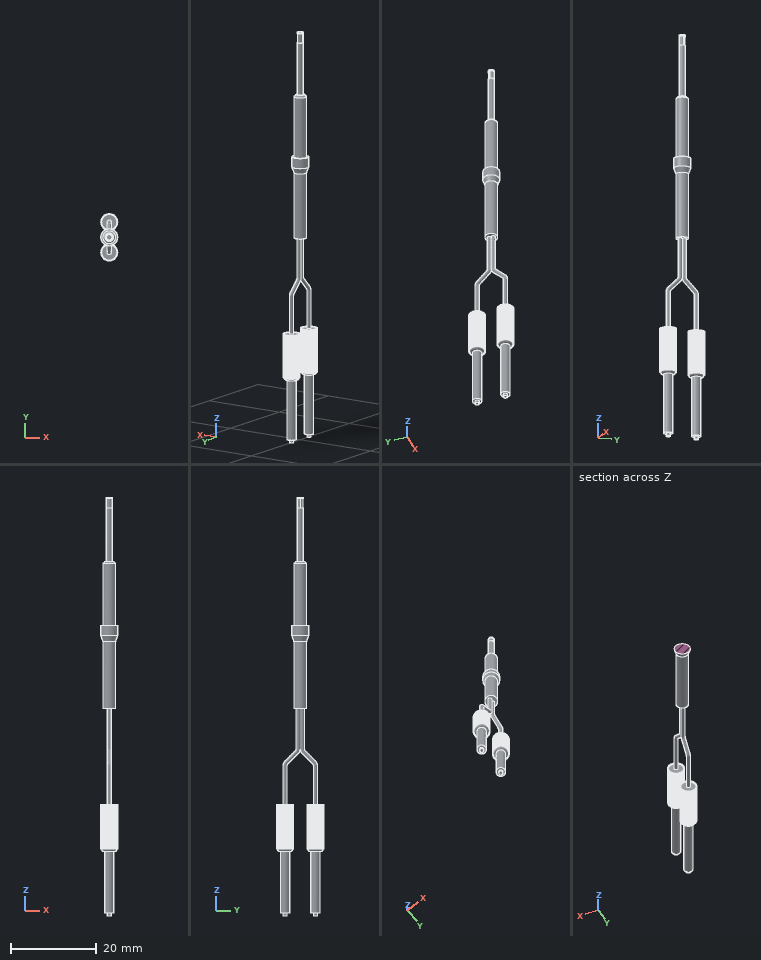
import cadquery as cq
import math

total_height = 98.11

needle_radius = 0.75
needle_length = 15.0
barrel_radius = 1.5
barrel_length = 34.5
barrel_top_radius = 1.0
barrel_chamfer_height = 0.5
collar_radius = 2.0
collar_length = 2.4
collar_taper_radius = 1.9
collar_taper_height = 0.3
neck_radius = 1.6
neck_height = 0.8
neck_step_height = 0.3
needle_to_collar = 15.0

barrel_top = total_height - needle_length
barrel_bottom = barrel_top - barrel_length
collar_top = barrel_top - needle_to_collar
collar_bottom = collar_top - collar_length
taper_bottom = collar_bottom - collar_taper_height
neck_bottom = taper_bottom - neck_height
neck_step_bottom = neck_bottom - neck_step_height

bore_radius = 0.65
bore_depth = 2.5
core_recess = 0.3
window_offset = 0.1
core_height = bore_depth - core_recess
bore_floor = total_height - bore_depth

lead_sides = (1, -1)
wire_radius = 0.5
plug_spacing = 7.1
bend_radius = 1.0
bend_angle = math.radians(45)
bend_start = 39.15

plug_radius = 2.0
plug_pin_radius = 1.1
plug_tip_length = 0.75
plug_shoulder = 15.1
plug_length = 11.1
plug_fillet = 0.6
ridge_height = 0.2
ridge_count = 60
plug_top = plug_shoulder + plug_length
knurl_bottom = plug_shoulder + plug_fillet
knurl_root_radius = plug_radius - ridge_height


def revolve_about_z(outline):
    return outline.close().revolve(360, (0, 0), (0, 1))


def make_probe():
    outline = cq.Workplane("XZ").polyline([
        (0, barrel_bottom),
        (barrel_radius, barrel_bottom),
        (barrel_radius, neck_step_bottom),
        (neck_radius, neck_bottom),
        (collar_taper_radius, taper_bottom),
        (collar_radius, collar_bottom),
        (collar_radius, collar_top),
        (barrel_radius, collar_top),
        (barrel_radius, barrel_top - barrel_chamfer_height),
        (barrel_top_radius, barrel_top),
        (needle_radius, barrel_top),
        (needle_radius, total_height),
        (bore_radius, total_height),
        (bore_radius, bore_floor),
        (0, bore_floor),
    ])
    window = cq.Workplane("XY").box(
        2 * needle_radius, needle_radius, core_height, centered=(True, False, False)
    ).translate((0, window_offset, bore_floor))
    return revolve_about_z(outline).cut(window)


def make_core():
    return cq.Workplane("XY", origin=(0, 0, bore_floor)).circle(bore_radius).extrude(core_height)


def make_wire(side):
    """A wire that runs down beside the axis, bends outward, and bends back down into its plug."""
    start_y = wire_radius
    end_y = plug_spacing / 2
    bend_shift = bend_radius * (1 - math.cos(bend_angle))
    bend_drop = bend_radius * math.sin(bend_angle)
    half_shift = bend_radius * (1 - math.cos(bend_angle / 2))
    half_drop = bend_radius * math.sin(bend_angle / 2)
    slant_drop = (end_y - start_y - 2 * bend_shift) / math.tan(bend_angle)
    slant_start = bend_start - bend_drop
    slant_end = slant_start - slant_drop
    bend_end = slant_end - bend_drop

    path = (
        cq.Workplane("YZ")
        .moveTo(side * start_y, barrel_bottom)
        .lineTo(side * start_y, bend_start)
        .threePointArc(
            (side * (start_y + half_shift), bend_start - half_drop),
            (side * (start_y + bend_shift), slant_start),
        )
        .lineTo(side * (end_y - bend_shift), slant_end)
        .threePointArc(
            (side * (end_y - half_shift), bend_end + half_drop),
            (side * end_y, bend_end),
        )
        .lineTo(side * end_y, plug_top)
    )
    section = cq.Workplane("XY", origin=(0, side * start_y, barrel_bottom)).circle(wire_radius)
    return section.sweep(path)


def make_knurl():
    """A prism of straight pointed ridges around the plug."""
    half_pitch = math.pi / ridge_count
    points = []
    for i in range(2 * ridge_count):
        radius = knurl_root_radius if i % 2 else plug_radius
        points.append((radius * math.cos(i * half_pitch), radius * math.sin(i * half_pitch)))
    knurl = cq.Workplane("XY", origin=(0, 0, knurl_bottom)).polyline(points).close()
    return knurl.extrude(plug_top - knurl_bottom)


def make_plug():
    fillet_inset = plug_fillet * math.sin(math.pi / 4)
    fillet_center_radius = knurl_root_radius - plug_fillet
    outline = (
        cq.Workplane("XZ")
        .moveTo(0, 0)
        .lineTo(wire_radius, 0)
        .lineTo(wire_radius, plug_tip_length)
        .lineTo(plug_pin_radius, plug_tip_length)
        .lineTo(plug_pin_radius, plug_shoulder)
        .lineTo(fillet_center_radius, plug_shoulder)
        .threePointArc(
            (fillet_center_radius + fillet_inset, knurl_bottom - fillet_inset),
            (knurl_root_radius, knurl_bottom),
        )
        .lineTo(0, knurl_bottom)
    )
    return revolve_about_z(outline).union(make_knurl())


def make_lead(side):
    plug = make_plug().translate((0, side * plug_spacing / 2, 0))
    return plug.union(make_wire(side))


probe = make_probe()
core = make_core()
leads = [make_lead(side) for side in lead_sides]

result = cq.Compound.makeCompound([probe.val(), core.val(), *[lead.val() for lead in leads]])